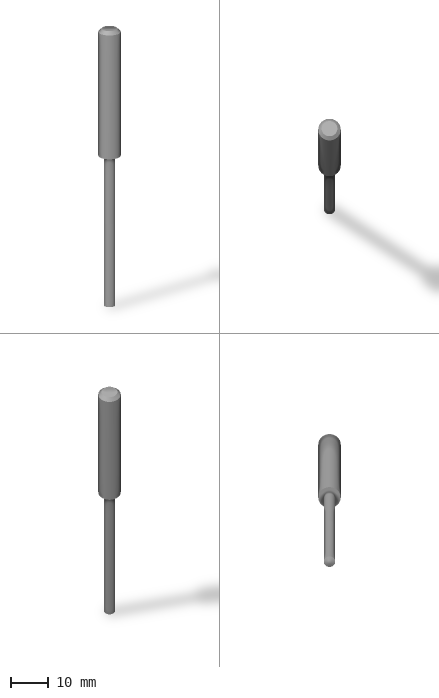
import cadquery as cq
import math

overall_length = 79.0
shank_diameter = 6.0
shank_length = 36.0
shank_chamfer = 0.9
drill_diameter = 3.05
cutting_length = 24.0
point_angle = 140.0

shank_radius = shank_diameter / 2
drill_radius = drill_diameter / 2
point_height = drill_radius / math.tan(math.radians(point_angle / 2))
shank_bottom = overall_length - shank_length


def make_holder():
    """Shank with a chamfered rear end and the plain neck below it."""
    profile = [
        (0, cutting_length),
        (drill_radius, cutting_length),
        (drill_radius, shank_bottom),
        (shank_radius, shank_bottom),
        (shank_radius, overall_length - shank_chamfer),
        (shank_radius - shank_chamfer, overall_length),
        (0, overall_length),
    ]
    return cq.Workplane("XZ").polyline(profile).close().revolve(360, (0, 0), (0, 1))


def make_cutting_part():
    """Cylindrical cutting part with a conical drill point."""
    profile = [
        (0, 0),
        (drill_radius, point_height),
        (drill_radius, cutting_length),
        (0, cutting_length),
    ]
    return cq.Workplane("XZ").polyline(profile).close().revolve(360, (0, 0), (0, 1))


holder = make_holder()
cutting_part = make_cutting_part()

result = cq.Compound.makeCompound([holder.val(), cutting_part.val()])